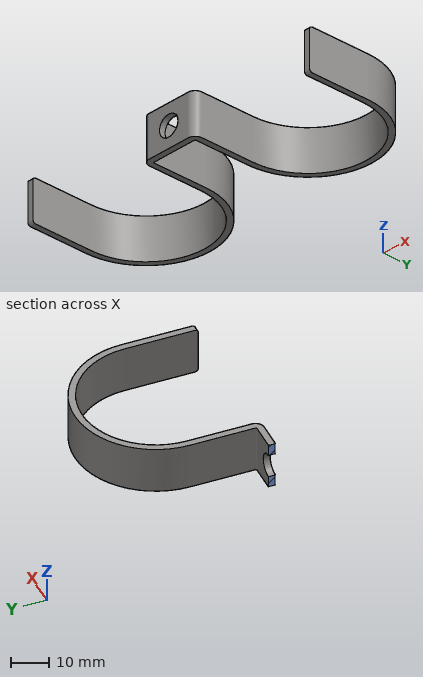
import cadquery as cq

strip_thickness = 2.0
strip_width = 14.0
hook_inner_radius = 21.0
leg_length = 21.0
bridge_outer_span = 20.0
bend_inner_radius = 0.5
tip_corner_radius = 1.0
screw_hole_diameter = 7.0

hook_outer_radius = hook_inner_radius + strip_thickness
bend_outer_radius = bend_inner_radius + strip_thickness
bridge_inner_span = bridge_outer_span - 2 * strip_thickness
hook_centre_x = bridge_outer_span / 2 + hook_inner_radius


def make_hook(centre_x):
    """Half ring opening toward -Y, with a straight leg at each end."""

    def arch(radius):
        return (
            cq.Workplane("XY")
            .moveTo(centre_x - radius, -leg_length)
            .lineTo(centre_x - radius, 0)
            .threePointArc((centre_x, radius), (centre_x + radius, 0))
            .lineTo(centre_x + radius, -leg_length)
            .close()
            .extrude(strip_width / 2, both=True)
        )

    return arch(hook_outer_radius).cut(arch(hook_inner_radius))


def round_free_tip(hook, side):
    """Round the top and bottom corners of the hook's outer leg end."""
    tip_selector = ">X" if side > 0 else "<X"
    return hook.faces("<Y").faces(tip_selector).edges("|X").fillet(tip_corner_radius)


def make_bridge():
    """Flat plate joining the inner legs."""
    return cq.Workplane("XY").box(
        bridge_outer_span, strip_thickness, strip_width
    ).translate((0, strip_thickness / 2 - leg_length, 0))


def round_bends(body):
    """Round the strip inside and outside where the bridge meets the inner legs."""
    inner_y = strip_thickness - leg_length
    for side in (-1, 1):
        outer_corner = (side * bridge_outer_span / 2, -leg_length, 0)
        inner_corner = (side * bridge_inner_span / 2, inner_y, 0)
        body = body.edges(cq.selectors.NearestToPointSelector(outer_corner)).fillet(bend_outer_radius)
        body = body.edges(cq.selectors.NearestToPointSelector(inner_corner)).fillet(bend_inner_radius)
    return body


def drill_bridge(body):
    """Screw hole through the middle of the bridge, along Y."""
    drill = (
        cq.Workplane("XZ", origin=(0, strip_thickness - leg_length, 0))
        .circle(screw_hole_diameter / 2)
        .extrude(strip_thickness)
    )
    return body.cut(drill)


clip = make_bridge()
for side in (-1, 1):
    hook = round_free_tip(make_hook(side * hook_centre_x), side)
    clip = clip.union(hook)

result = drill_bridge(round_bends(clip.clean()))